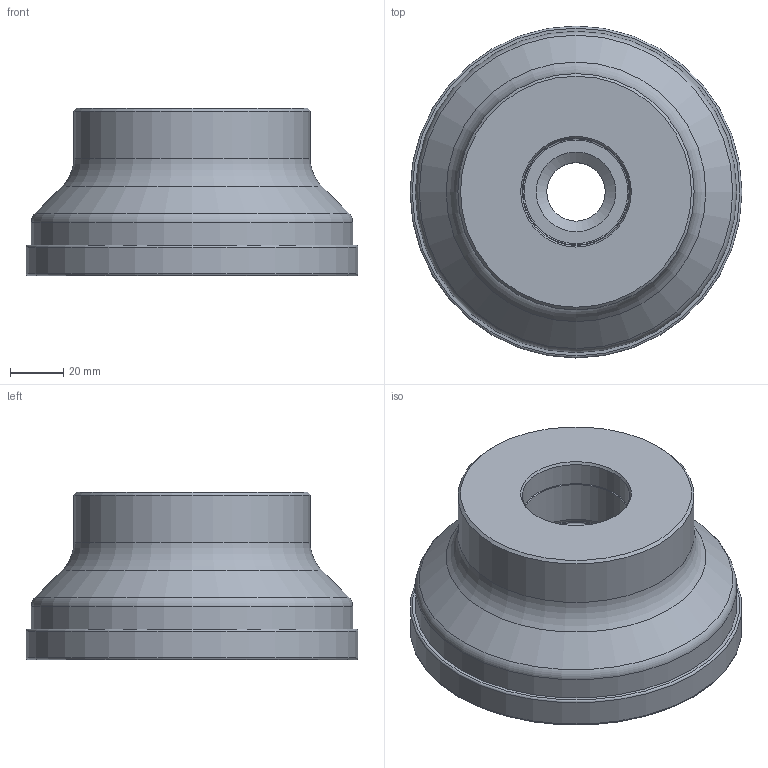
import cadquery as cq
import math

height = 63.0
flange_top = 11.5

flange_radius = 62.5
flange_fillet = 0.8
body_radius = 60.5
hub_radius = 44.5
hub_chamfer = 1.0
hub_bottom = 44.25

shoulder_angle = math.radians(45)
hub_blend = 15.0
body_blend = 5.0

entry_radius = 20.25
entry_chamfer_depth = 1.0
entry_chamfer_angle = math.radians(30)
seat_radius = 20.0
seat_top_depth = 10.0
seat_chamfer_angle = math.radians(45)
floor_depth = 28.5
hole_radius = 11.0
countersink_radius = 15.0
countersink_slope = math.radians(36)

relief_depth = 0.3
relief_length = 2.5
relief_angle = math.radians(15)
relief_fillet = 0.8


def make_outer_body():
    """Revolve the flange, body, shoulder and hub about Z."""
    sine = math.sin(shoulder_angle)
    cosine = math.cos(shoulder_angle)
    half_sine = math.sin(shoulder_angle / 2)
    half_cosine = math.cos(shoulder_angle / 2)

    hub_center_r = hub_radius + hub_blend
    slope_top = (hub_center_r - hub_blend * cosine, hub_bottom - hub_blend * sine)
    hub_blend_middle = (hub_center_r - hub_blend * half_cosine, hub_bottom - hub_blend * half_sine)

    body_center_r = body_radius - body_blend
    slope_bottom_r = body_center_r + body_blend * cosine
    slope_bottom_z = slope_top[1] - (slope_bottom_r - slope_top[0]) / math.tan(shoulder_angle)
    body_top = slope_bottom_z - body_blend * sine
    body_blend_middle = (body_center_r + body_blend * half_cosine, body_top + body_blend * half_sine)

    profile = (
        cq.Workplane("XZ")
        .lineTo(flange_radius - flange_fillet, 0)
        .radiusArc((flange_radius, flange_fillet), -flange_fillet)
        .lineTo(flange_radius, flange_top - flange_fillet)
        .radiusArc((flange_radius - flange_fillet, flange_top), -flange_fillet)
        .lineTo(body_radius, flange_top)
        .lineTo(body_radius, body_top)
        .threePointArc(body_blend_middle, (slope_bottom_r, slope_bottom_z))
        .lineTo(*slope_top)
        .threePointArc(hub_blend_middle, (hub_radius, hub_bottom))
        .lineTo(hub_radius, height - hub_chamfer)
        .lineTo(hub_radius - hub_chamfer, height)
        .lineTo(0, height)
        .close()
    )
    return profile.revolve(360, (0, 0, 0), (0, 1, 0))


def make_bore():
    """Revolve the space of the stepped bore, countersink and through hole."""
    entry_mouth = entry_radius + entry_chamfer_depth * math.tan(entry_chamfer_angle)
    seat_top = height - seat_top_depth
    entry_bottom = seat_top + (entry_radius - seat_radius) / math.tan(seat_chamfer_angle)
    floor = height - floor_depth
    countersink_bottom = floor - (countersink_radius - hole_radius) * math.tan(countersink_slope)
    relief_radius = seat_radius + relief_depth
    relief_top = floor + relief_length
    relief_slope_bottom = relief_top - relief_depth / math.tan(relief_angle)

    profile = (
        cq.Workplane("XZ")
        .lineTo(hole_radius, 0)
        .lineTo(hole_radius, countersink_bottom)
        .lineTo(countersink_radius, floor)
        .lineTo(relief_radius - relief_fillet, floor)
        .radiusArc((relief_radius, floor + relief_fillet), -relief_fillet)
        .lineTo(relief_radius, relief_slope_bottom)
        .lineTo(seat_radius, relief_top)
        .lineTo(seat_radius, seat_top)
        .lineTo(entry_radius, entry_bottom)
        .lineTo(entry_radius, height - entry_chamfer_depth)
        .lineTo(entry_mouth, height)
        .lineTo(0, height)
        .close()
    )
    return profile.revolve(360, (0, 0, 0), (0, 1, 0))


result = make_outer_body().cut(make_bore())